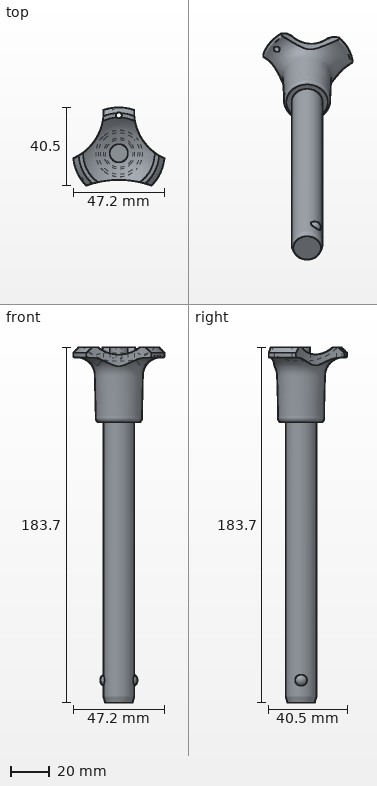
import cadquery as cq
import math


total_length = 183.7
handle_height = 38.9
shank_length = total_length - handle_height

shank_radius = 8.0
tip_radius = 7.1
tip_height = 3.2

ball_radius = 3.2
ball_reach = 9.7
ball_height_above_tip = 11.7
ball_z = ball_height_above_tip - shank_length

collar_top_radius = 12.5
collar_bottom_radius = 12.0
collar_top_depth = 14.6
collar_foot_height = 3.0
collar_foot_radius = 10.7
collar_foot_bulge_radius = 11.7
collar_foot_bulge_height = 1.0
flare_radius = 9.2

rim_radius = 23.75
rim_chamfer = 3.0
rim_edge_depth = 4.4
rim_round = 0.9

dish_radius = 18.5
dish_mid_radius = 14.0
dish_mid_depth = 3.8
button_radius = 4.7
dish_depth = 7.0

front_cut_radius = 49.7
front_cut_waist = 13.8
side_cut_radius = 26.0
side_cut_waist = 14.05
side_cut_angle = 148.0

lanyard_hole_radius = 1.5
lanyard_hole_y = 19.6


def make_handle_blank():
    """Flared handle as a full revolution, with the dished top and the button in its middle."""
    top = handle_height
    flare_z = top - collar_top_depth
    flare_center_r = collar_top_radius + flare_radius
    flare_diagonal = flare_radius * math.sqrt(0.5)
    rim_bottom_z = flare_z + flare_radius
    rim_round_inset = rim_round * (1 - math.sqrt(0.5))
    profile = (
        cq.Workplane("XZ")
        .moveTo(0, 0)
        .lineTo(collar_foot_radius, 0)
        .threePointArc(
            (collar_foot_bulge_radius, collar_foot_bulge_height),
            (collar_bottom_radius, collar_foot_height),
        )
        .lineTo(collar_top_radius, flare_z)
        .threePointArc(
            (flare_center_r - flare_diagonal, flare_z + flare_diagonal),
            (flare_center_r, rim_bottom_z),
        )
        .lineTo(rim_radius - rim_round, rim_bottom_z)
        .threePointArc(
            (rim_radius - rim_round_inset, rim_bottom_z + rim_round_inset),
            (rim_radius, top - rim_edge_depth),
        )
        .lineTo(rim_radius, top - rim_chamfer)
        .lineTo(rim_radius - rim_chamfer, top)
        .lineTo(dish_radius, top)
        .threePointArc(
            (dish_mid_radius, top - dish_mid_depth),
            (button_radius, top - dish_depth),
        )
        .lineTo(button_radius, top)
        .lineTo(0, top)
        .close()
    )
    return profile.revolve(360, (0, 0, 0), (0, 1, 0))


def make_lobe_cutter(angle, radius, waist):
    """Upright cylinder whose near side comes within `waist` of the pin axis."""
    distance = waist + radius
    x = distance * math.cos(math.radians(angle))
    y = distance * math.sin(math.radians(angle))
    return cq.Workplane("XY").center(x, y).circle(radius).extrude(handle_height)


def make_handle():
    """Handle with its three lobes and the lanyard hole."""
    handle = make_handle_blank()
    handle = handle.cut(make_lobe_cutter(270, front_cut_radius, front_cut_waist))
    for angle in (side_cut_angle, 180 - side_cut_angle):
        handle = handle.cut(make_lobe_cutter(angle, side_cut_radius, side_cut_waist))
    lanyard_hole = (
        cq.Workplane("XY")
        .center(0, lanyard_hole_y)
        .circle(lanyard_hole_radius)
        .extrude(handle_height)
    )
    return handle.cut(lanyard_hole)


def make_shank():
    """Straight round shank with a tapered tip."""
    profile = (
        cq.Workplane("XZ")
        .moveTo(0, -shank_length)
        .lineTo(tip_radius, -shank_length)
        .lineTo(shank_radius, -shank_length + tip_height)
        .lineTo(shank_radius, 0)
        .lineTo(0, 0)
        .close()
    )
    return profile.revolve(360, (0, 0, 0), (0, 1, 0))


def make_ball(side):
    """Locking ball; `side` is +1 or -1 along X."""
    ball_x = side * (ball_reach - ball_radius)
    return cq.Workplane("XY").sphere(ball_radius).translate((ball_x, 0, ball_z))


result = make_handle().union(make_shank())
for ball_side in (-1, 1):
    result = result.union(make_ball(ball_side))